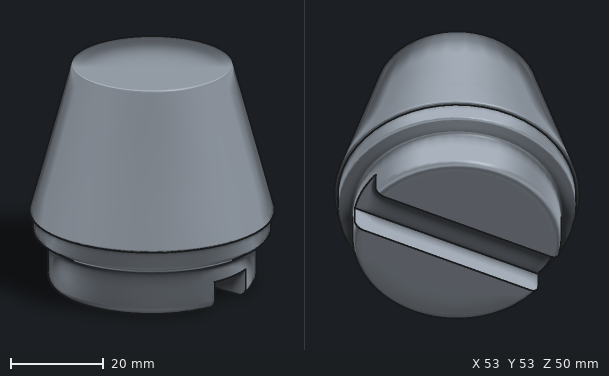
import cadquery as cq
import math

outer_radius = 26.5
total_height = 50.0

cap_bottom = 15.95
cap_taper = 15.0
cap_edge_round = 0.5
rim_corner_angle = math.radians(90 - cap_taper)
cap_bottom_radius = outer_radius - cap_edge_round + cap_edge_round / math.tan(rim_corner_angle / 2)
cap_height = total_height - cap_bottom
cap_top_radius = cap_bottom_radius - cap_height * math.tan(math.radians(cap_taper))

collar_radius = 25.7
collar_bottom = 11.8
plug_radius = 22.5
shoulder_slope = 30.0
plug_top = collar_bottom - (collar_radius - plug_radius) * math.tan(math.radians(shoulder_slope))
shoulder_round = 1.0
plug_bottom_round = 2.0

slot_width = 10.5
slot_depth = 6.3


def revolve_profile(points):
    """Turn a closed (radius, height) outline about the Z axis."""
    return cq.Workplane("XZ").polyline(points).close().revolve(360, (0, 0, 0), (0, 1, 0))


def circle_edges_at(height):
    """Select the circular edge lying at one height."""
    reach = 2 * outer_radius
    margin = 0.05
    return cq.selectors.BoxSelector(
        (-reach, -reach, height - margin), (reach, reach, height + margin), boundingbox=False
    )


def make_cap():
    cap = revolve_profile([
        (0, cap_bottom),
        (cap_bottom_radius, cap_bottom),
        (cap_top_radius, total_height),
        (0, total_height),
    ])
    return cap.edges("%CIRCLE").fillet(cap_edge_round)


def make_base():
    base = revolve_profile([
        (0, 0),
        (plug_radius, 0),
        (plug_radius, plug_top),
        (collar_radius, collar_bottom),
        (collar_radius, cap_bottom),
        (0, cap_bottom),
    ])
    for shoulder_height in (plug_top, collar_bottom):
        base = base.edges("%CIRCLE").edges(circle_edges_at(shoulder_height)).fillet(shoulder_round)
    base = base.faces("<Z").edges().fillet(plug_bottom_round)
    slot = cq.Workplane("XY").box(2 * outer_radius, slot_width, slot_depth, centered=(True, True, False))
    return base.cut(slot)


cap = make_cap()
base = make_base()

result = cq.Compound.makeCompound([cap.val(), *base.vals()])